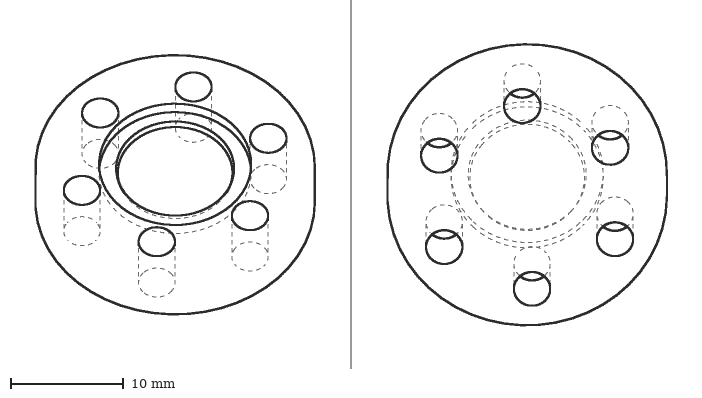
import cadquery as cq

flange_diameter = 24.8
flange_height = 6.0
rim_fillet = 0.5

recess_diameter = 13.5
recess_depth = 1.25
knife_diameter = 10.47
knife_depth = 0.62
floor_diameter = 10.17

bolt_count = 6
bolt_hole_diameter = 3.22
bolt_circle_diameter = 17.5
first_bolt_angle = 30.0


def make_disc():
    """Round disc with both outer rims filleted, standing on Z = 0."""
    disc = cq.Workplane("XY").circle(flange_diameter / 2).extrude(flange_height)
    return disc.edges("%CIRCLE").fillet(rim_fillet)


def make_recess():
    """Revolved cutter that leaves a knife edge between the recess wall and floor."""
    recess_bottom = flange_height - recess_depth
    profile = (
        cq.Workplane("XZ")
        .moveTo(0, flange_height)
        .lineTo(recess_diameter / 2, flange_height)
        .lineTo(recess_diameter / 2, recess_bottom)
        .lineTo(knife_diameter / 2, flange_height - knife_depth)
        .lineTo(floor_diameter / 2, recess_bottom)
        .lineTo(0, recess_bottom)
        .close()
    )
    return profile.revolve(360, (0, 0, 0), (0, 1, 0))


def make_bolt_holes():
    """Ring of through-hole cutters."""
    return (
        cq.Workplane("XY")
        .polarArray(bolt_circle_diameter / 2, first_bolt_angle, 360, bolt_count)
        .circle(bolt_hole_diameter / 2)
        .extrude(flange_height)
    )


result = make_disc().cut(make_recess()).cut(make_bolt_holes())